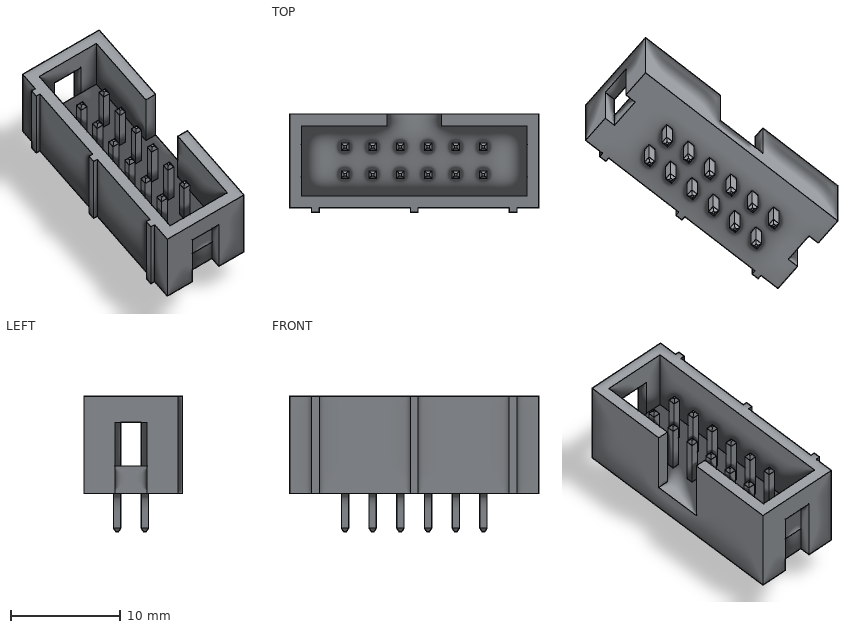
import cadquery as cq


body_length = 22.8
overall_width = 9.0
rib_depth = 0.4
body_width = overall_width - rib_depth
body_height = 8.91
wall = 1.1
floor_height = 2.55

notch_width = 5.02

slot_width = 2.96
slot_to_rim = 2.4
slot_height = body_height - slot_to_rim

rib_width = 0.73
rib_spacing = 9.03

pin_columns = 6
pin_rows = 2
pin_pitch = 2.53
pin_side = 0.68
pin_bottom = -3.49
pin_top = 7.6
tip_height = 0.35
tip_side = 0.23


def block(length, width, height, x=0.0, y=0.0, z=0.0):
    """Box centred on x and y, standing on z."""
    return cq.Workplane("XY").box(length, width, height, centered=(True, True, False)).translate((x, y, z))


def make_shroud():
    """Open box with the keying notch and the end slots cut out."""
    wall_height = body_height - floor_height
    shroud = block(body_length, body_width, body_height)
    shroud = shroud.cut(block(body_length - 2 * wall, body_width - 2 * wall, wall_height, z=floor_height))

    notch_y = (body_width - wall) / 2
    shroud = shroud.cut(block(notch_width, wall, wall_height, y=notch_y, z=floor_height))

    for side in (-1, 1):
        slot_x = side * (body_length - wall) / 2
        shroud = shroud.cut(block(wall, slot_width, slot_height, x=slot_x))
    return shroud


def make_rib(x):
    """Full-height rib standing out from the -Y face."""
    return block(rib_width, rib_depth, body_height, x=x, y=-(body_width + rib_depth) / 2)


def make_tip(base_z, direction):
    """Blunt pyramid on a pin end, pointing along direction (+1 up, -1 down)."""
    return (
        cq.Workplane("XY", origin=(0, 0, base_z))
        .rect(pin_side, pin_side)
        .workplane(offset=direction * tip_height)
        .rect(tip_side, tip_side)
        .loft(ruled=True)
    )


def make_pin():
    """Square pin on the Z axis, tapered at both ends."""
    shaft_bottom = pin_bottom + tip_height
    shaft_top = pin_top - tip_height
    shaft = block(pin_side, pin_side, shaft_top - shaft_bottom, z=shaft_bottom)
    return shaft.union(make_tip(shaft_top, 1)).union(make_tip(shaft_bottom, -1))


result = make_shroud()

for rib_x in (-rib_spacing, 0, rib_spacing):
    result = result.union(make_rib(rib_x))

pin = make_pin()
for column in range(pin_columns):
    pin_x = (column - (pin_columns - 1) / 2) * pin_pitch
    for row in range(pin_rows):
        pin_y = (row - (pin_rows - 1) / 2) * pin_pitch
        result = result.union(pin.translate((pin_x, pin_y, 0)))